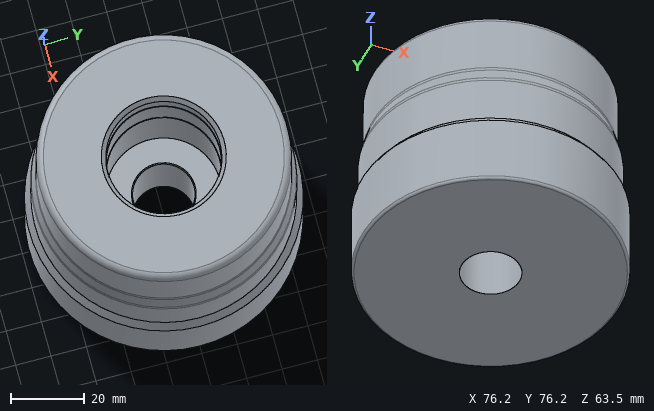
import cadquery as cq

base_radius = 38.1
base_height = 23.9
base_shoulder_height = 21.5
base_edge_fillet = 0.8
base_hole_radius = 8.5
base_hole_chamfer = 0.3

total_height = 63.5
sleeve_lower_radius = 36.35
sleeve_upper_radius = 34.9
taper_bottom = 38.6
taper_top = 43.6
taper_blend_radius = 3.8
sleeve_top_fillet = 2.0

bore_radius = 15.85
land_radius = 15.7
land_top = total_height - 6.0
land_bottom = total_height - 17.7
bore_chamfer = 1.2


def cylinder(radius, bottom, top):
    return cq.Workplane("XY").workplane(offset=bottom).circle(radius).extrude(top - bottom)


def make_base():
    profile = (
        cq.Workplane("XZ")
        .lineTo(base_radius, 0)
        .lineTo(base_radius, base_shoulder_height)
        .lineTo(sleeve_lower_radius, base_height)
        .lineTo(0, base_height)
        .close()
    )
    disc = profile.revolve(360, (0, 0), (0, 1)).faces("<Z").edges().fillet(base_edge_fillet)
    drilled = disc.cut(cylinder(base_hole_radius, 0, base_height))
    return drilled.faces(">Z").edges(cq.selectors.RadiusNthSelector(0)).chamfer(base_hole_chamfer)


def make_sleeve_blank():
    profile = (
        cq.Workplane("XZ")
        .moveTo(0, base_height)
        .lineTo(sleeve_lower_radius, base_height)
        .lineTo(sleeve_lower_radius, taper_bottom)
        .lineTo(sleeve_upper_radius, taper_top)
        .lineTo(sleeve_upper_radius, total_height)
        .lineTo(0, total_height)
        .close()
    )
    blank = profile.revolve(360, (0, 0), (0, 1))
    taper_edges = cq.selectors.BoxSelector(
        (-base_radius, -base_radius, taper_bottom - 0.8),
        (base_radius, base_radius, taper_top + 0.8),
    )
    blank = blank.edges("%CIRCLE").edges(taper_edges).fillet(taper_blend_radius)
    return blank.faces(">Z").edges().fillet(sleeve_top_fillet)


def make_sleeve():
    sleeve = (
        make_sleeve_blank()
        .cut(cylinder(land_radius, base_height, total_height))
        .cut(cylinder(bore_radius, base_height, land_bottom))
        .cut(cylinder(bore_radius, land_top, total_height))
    )
    return sleeve.faces(">Z").edges(cq.selectors.RadiusNthSelector(0)).chamfer(bore_chamfer)


base = make_base()
sleeve = make_sleeve()

result = cq.Compound.makeCompound([base.val(), sleeve.val()])